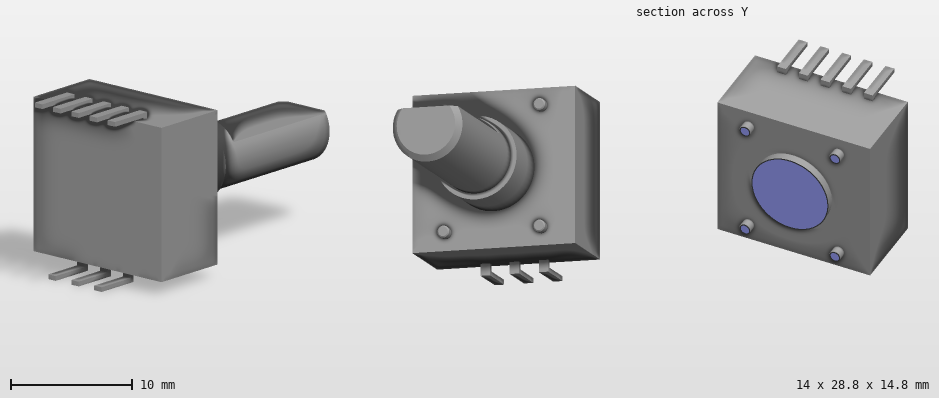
import cadquery as cq


total_length = 28.8

body_width = 14.0
body_depth = 7.0
body_height = 13.2

bushing_diameter = 7.0
bushing_length = 5.0
shaft_diameter = 6.0
shaft_chamfer = 0.5
flat_length = 12.0
flat_height = 1.5

peg_diameter = 1.0
peg_length = 0.8
peg_chamfer = 0.1
peg_offset_x = 4.12
peg_offset_z = 5.1

pin_width = 0.8
pin_thickness = 0.4
pin_setback = 1.2
pin_overhang = 2.8
upper_pin_count = 5
upper_pin_pitch = 2.0
upper_pin_rise = 0.6
lower_pin_count = 3
lower_pin_pitch = 2.5
lower_pin_rise = 1.0

shaft_length = total_length - body_depth - pin_overhang
body_front = -body_depth


def cylinder_along_y(diameter, length, x=0, z=0):
    """Cylinder from the housing's bushing face outward in +Y."""
    return cq.Workplane("XZ").center(x, z).circle(diameter / 2).extrude(-length)


def make_shaft():
    shaft = cylinder_along_y(shaft_diameter, shaft_length).faces(">Y").chamfer(shaft_chamfer)
    flat_cut = cq.Workplane("XY").box(
        shaft_diameter, flat_length, shaft_diameter, centered=(True, False, False)
    )
    return shaft.cut(flat_cut.translate((0, shaft_length - flat_length, flat_height)))


def make_peg(x, z):
    return cylinder_along_y(peg_diameter, peg_length, x, z).faces(">Y").chamfer(peg_chamfer)


def make_pin_row(count, pitch, rise, side):
    """Row of L-shaped pins; side is +1 above the housing and -1 below it."""
    back = body_front + pin_setback
    tip = body_front - pin_overhang
    inner = side * body_height / 2
    outer = inner + side * rise
    bend = outer - side * pin_thickness
    profile = [
        (back, inner),
        (back, outer),
        (tip, outer),
        (tip, bend),
        (back - pin_thickness, bend),
        (back - pin_thickness, inner),
    ]
    pin = cq.Workplane("YZ").polyline(profile).close().extrude(pin_width / 2, both=True)
    row = cq.Workplane("XY")
    for index in range(count):
        x = (index - (count - 1) / 2) * pitch
        row = row.add(pin.translate((x, 0, 0)))
    return row.combine()


housing = cq.Workplane("XY").box(body_width, body_depth, body_height)
result = housing.translate((0, -body_depth / 2, 0))
result = result.union(cylinder_along_y(bushing_diameter, bushing_length))
result = result.union(make_shaft())
for side_x in (-1, 1):
    for side_z in (-1, 1):
        result = result.union(make_peg(side_x * peg_offset_x, side_z * peg_offset_z))
result = result.union(make_pin_row(upper_pin_count, upper_pin_pitch, upper_pin_rise, 1))
result = result.union(make_pin_row(lower_pin_count, lower_pin_pitch, lower_pin_rise, -1))